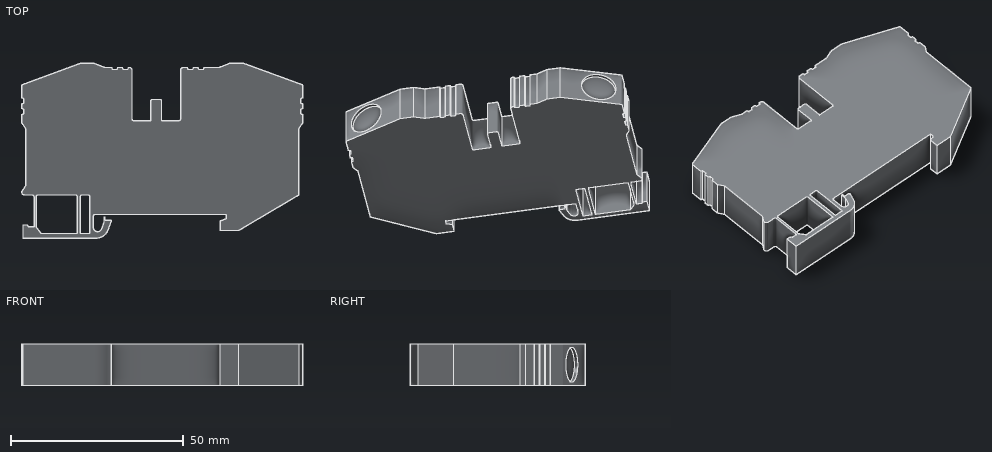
import cadquery as cq
import math

length = 81.5
height = 50.8
thickness = 12.1

shoulder_y = 44.5
left_peak = (17.0, 20.95)
right_peak = (60.3, 64.3)
saddle_y = 49.55
saddle_x = (24.1, 57.2)

lip_bottom_y = 33.5
wall_top_y = 31.8
left_wall_x = 1.15
right_wall_x = 80.35
ledge_y = 12.55
ledge_lip_y = 13.5
ledge_slope_y = 15.3

opening_x = (32.0, 46.05)
opening_floor_y = 34.15
tab_x = (37.4, 40.6)
tab_top_y = 40.3

groove_depth = 0.6
groove_mouth_width = 1.7
groove_floor_width = 1.3
saddle_groove_x = (27.0, 30.1, 48.9, 52.0)
end_groove_y = (39.85, 36.75)

rail_y = 6.85
rail_left_x = 20.8
rail_right_x = 59.25
jaw_tip_x = 57.5
jaw_outer_x = 62.8
jaw_bottom_y = 2.2
jaw_lip_y = 5.05
jaw_slope_y = 5.7

foot_x = 0.3
foot_top_y = 3.9
foot_step_x = (1.6, 1.95)
foot_step_y = 3.4
web_x = 3.6

window_bottom_y = 1.5
large_window_x = (4.2, 16.05)
small_window_x = (17.0, 19.7)
window_bevel_width = 1.4
window_bevel_height = 1.8

hook_lean = math.radians(20)
hook_outer_radius = 3.8
hook_outer_center = (21.5, hook_outer_radius)
hook_inner_radius = 1.2
hook_inner_center = (rail_left_x + hook_inner_radius, 3.2)
hook_inner_top_y = 4.6
hook_nib_top_y = 6.2
hook_nib_right_x = 24.2
hook_shelf_y = 5.3
hook_shelf_end_x = 25.8
hook_tip_y = 5.05

recess_diameter = 10.1
recess_depth = 1.1
recess_center_y = 46.9

corner_radius = 0.4
opening_top_radius = 0.8
web_root_radius = 0.6
ledge_lip_radius = 0.8


def block(x_range, y_range):
    """Box through the full thickness between two X and two Y limits."""
    return (
        cq.Workplane("XY")
        .moveTo(sum(x_range) / 2, sum(y_range) / 2)
        .rect(x_range[1] - x_range[0], y_range[1] - y_range[0])
        .extrude(thickness)
    )


def on_circle(center, radius, angle):
    return (center[0] + radius * math.cos(angle), center[1] + radius * math.sin(angle))


def lean_to(start, y):
    """Point at height y on the leaning line of the hook through start."""
    return (start[0] + (y - start[1]) * math.tan(hook_lean), y)


def round_corners(body, corners, radius):
    """Fillet the thickness-direction edges standing at the given XY corners."""
    reach = 0.04
    for x, y in corners:
        box = cq.selectors.BoxSelector(
            (x - reach, y - reach, 0), (x + reach, y + reach, thickness)
        )
        body = body.edges("|Z").edges(box).fillet(radius)
    return body


def make_profile():
    """Outer plate, traced clockwise from the left shoulder."""
    inner_end = on_circle(hook_inner_center, hook_inner_radius, -hook_lean)
    inner_mid = on_circle(hook_inner_center, hook_inner_radius, -math.pi / 2)
    inner_top = lean_to(inner_end, hook_inner_top_y)
    outer_end = on_circle(hook_outer_center, hook_outer_radius, -hook_lean)
    outer_mid = on_circle(hook_outer_center, hook_outer_radius, -math.pi / 4)

    crown = [
        (0, shoulder_y),
        (left_peak[0], height),
        (left_peak[1], height),
        (saddle_x[0], saddle_y),
        (saddle_x[1], saddle_y),
        (right_peak[0], height),
        (right_peak[1], height),
        (length, shoulder_y),
    ]
    right_side = [
        (length, lip_bottom_y),
        (right_wall_x, wall_top_y),
        (right_wall_x, ledge_y),
        (jaw_outer_x, jaw_bottom_y),
        (jaw_tip_x, jaw_bottom_y),
        (jaw_tip_x, jaw_lip_y),
        (rail_right_x, jaw_slope_y),
        (rail_right_x, rail_y),
        (rail_left_x, rail_y),
        (rail_left_x, hook_inner_center[1]),
    ]
    hook_tip = [
        inner_end,
        inner_top,
        (inner_top[0], hook_nib_top_y),
        (hook_nib_right_x, hook_nib_top_y),
        (hook_nib_right_x, hook_shelf_y),
        (hook_shelf_end_x, hook_shelf_y),
        lean_to(outer_end, hook_tip_y),
        outer_end,
    ]
    left_side = [
        (hook_outer_center[0], 0),
        (foot_x, 0),
        (foot_x, foot_top_y),
        (foot_step_x[0], foot_top_y),
        (foot_step_x[1], foot_step_y),
        (web_x, foot_step_y),
        (web_x, ledge_y),
        (0, ledge_y),
        (0, ledge_lip_y),
        (left_wall_x, ledge_slope_y),
        (left_wall_x, wall_top_y),
        (0, lip_bottom_y),
    ]
    plate = (
        cq.Workplane("XY")
        .polyline(crown + right_side)
        .threePointArc(inner_mid, inner_end)
        .polyline(hook_tip[1:], includeCurrent=True)
        .threePointArc(outer_mid, left_side[0])
        .polyline(left_side[1:], includeCurrent=True)
        .close()
        .extrude(thickness)
    )
    rounded = [(rail_left_x, rail_y), (0, shoulder_y), (length, shoulder_y)]
    plate = round_corners(plate, rounded, corner_radius)
    plate = round_corners(plate, [(web_x, ledge_y)], web_root_radius)
    return round_corners(plate, [(0, ledge_y)], ledge_lip_radius)


def cut_opening(body):
    """Open the centre of the crown, leaving the tab on the floor."""
    tab = block(tab_x, (opening_floor_y, tab_top_y))
    tab = round_corners(tab, [(x, tab_top_y) for x in tab_x], corner_radius)
    opening = block(opening_x, (opening_floor_y, height))
    opening = round_corners(opening, [(x, opening_floor_y) for x in opening_x], corner_radius)
    body = body.cut(opening.cut(tab))
    return round_corners(body, [(x, saddle_y) for x in opening_x], opening_top_radius)


def cut_groove(body, mouth_center, across, inward):
    """Cut a flared groove; across runs along the mouth and inward points into the part."""
    center = cq.Vector(*mouth_center)
    half_mouth = cq.Vector(*across) * (groove_mouth_width / 2)
    half_floor = cq.Vector(*across) * (groove_floor_width / 2)
    floor_center = center + cq.Vector(*inward) * groove_depth
    corners = [
        center - half_mouth,
        center + half_mouth,
        floor_center + half_floor,
        floor_center - half_floor,
    ]
    outline = [(corner.x, corner.y) for corner in corners]
    return body.cut(cq.Workplane("XY").polyline(outline).close().extrude(thickness))


def cut_grooves(body):
    for x in saddle_groove_x:
        body = cut_groove(body, (x, saddle_y), across=(1, 0), inward=(0, -1))
    for y in end_groove_y:
        body = cut_groove(body, (0, y), across=(0, 1), inward=(1, 0))
        body = cut_groove(body, (length, y), across=(0, 1), inward=(-1, 0))
    return body


def cut_windows(body):
    for window_x in (large_window_x, small_window_x):
        window = block(window_x, (window_bottom_y, ledge_y))
        window = round_corners(window, [(x, ledge_y) for x in window_x], corner_radius)
        body = body.cut(window)

    corner_x = large_window_x[0]
    bevel = (
        cq.Workplane("XY")
        .polyline([
            (corner_x, window_bottom_y),
            (corner_x + window_bevel_width, window_bottom_y),
            (corner_x, window_bottom_y + window_bevel_height),
        ])
        .close()
        .extrude(thickness)
    )
    return body.union(bevel)


def cut_recess(body, foot, peak):
    """Blind round recess square to the slope running from foot up to peak."""
    run = peak[0] - foot[0]
    rise = peak[1] - foot[1]
    center_x = foot[0] + run * (recess_center_y - foot[1]) / rise
    inward = cq.Vector(rise * math.copysign(1, run), -abs(run), 0)
    recess = cq.Solid.makeCylinder(
        recess_diameter / 2,
        recess_depth,
        cq.Vector(center_x, recess_center_y, thickness / 2),
        inward,
    )
    return body.cut(cq.Workplane(recess))


result = make_profile()
result = cut_opening(result)
result = cut_grooves(result)
result = cut_windows(result)
result = cut_recess(result, (0, shoulder_y), (left_peak[0], height))
result = cut_recess(result, (length, shoulder_y), (right_peak[1], height))